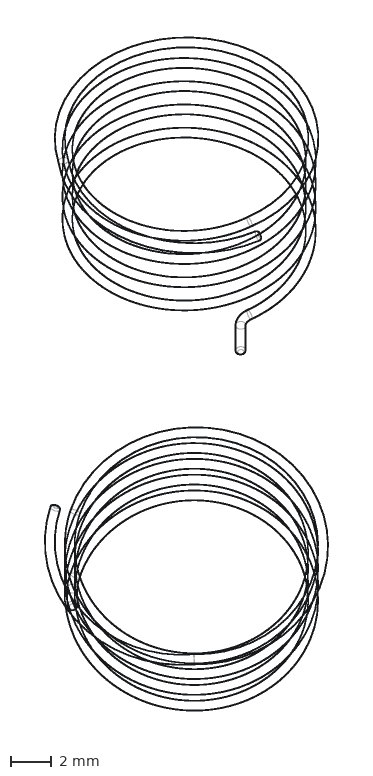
import cadquery as cq
import math

wire_diameter = 0.5
wire_radius = wire_diameter / 2
end_rounding = 0.1

coil_radius = 6.0
pitch = 1.75
turns = 4
coil_height = pitch * turns

bend_radius = 0.5
leg_length = 2.5

left_reach = 6.5
right_reach = 7.0
inner_arc_radius = (coil_radius + left_reach) / 2
inner_arc_center = (coil_radius - left_reach) / 2
outer_arc_radius = 6.5
outer_arc_center = right_reach - outer_arc_radius

center_distance = outer_arc_center - inner_arc_center
joint_offset = (center_distance**2 + inner_arc_radius**2 - outer_arc_radius**2) / (2 * center_distance)
joint_x = inner_arc_center + joint_offset
joint_y = -math.sqrt(inner_arc_radius**2 - joint_offset**2)


def wire_section(z):
    """Wire cross-section in the XZ plane, at angle 0 of the coil."""
    return cq.Workplane("XZ", origin=(coil_radius, 0, z)).circle(wire_radius)


def make_coil():
    path = cq.Wire.makeHelix(pitch, coil_height, coil_radius)
    return wire_section(0).sweep(path, isFrenet=True)


def make_leg():
    """Quarter bend from the coil start into a straight leg, rounded at its tip."""
    bend_and_leg = (
        cq.Workplane("YZ", origin=(coil_radius, 0, 0))
        .radiusArc((-bend_radius, -bend_radius), -bend_radius)
        .lineTo(-bend_radius, -leg_length)
    )
    leg = wire_section(0).sweep(bend_and_leg)
    return leg.faces("<Z").edges().fillet(end_rounding)


def make_top_turn():
    """Flat turn widening from the coil to its free end, rounded at the tip."""
    outer_arc_low_point = (outer_arc_center, -outer_arc_radius)
    path = (
        cq.Workplane("XY", origin=(0, 0, coil_height))
        .moveTo(coil_radius, 0)
        .threePointArc((inner_arc_center, inner_arc_radius), (joint_x, joint_y))
        .threePointArc(outer_arc_low_point, (right_reach, 0))
    )
    turn = wire_section(coil_height).sweep(path, transition="round")
    free_end = cq.selectors.NearestToPointSelector((right_reach, 0, coil_height))
    return turn.faces(free_end).edges().fillet(end_rounding)


result = make_coil().union(make_leg()).union(make_top_turn())